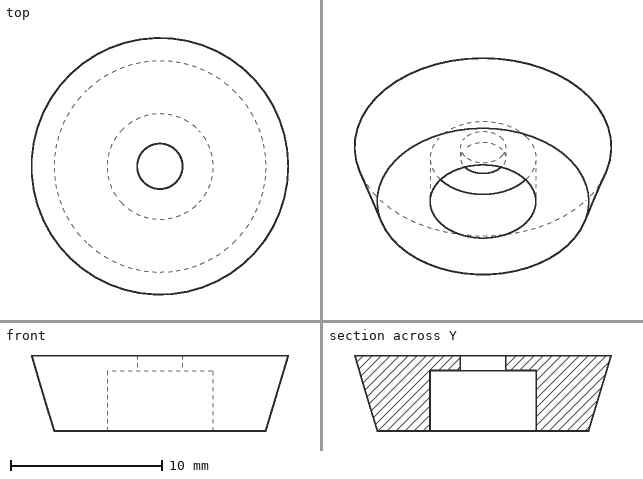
import cadquery as cq

top_diameter = 17.0
bottom_diameter = 14.0
height = 5.0
hole_diameter = 3.0
recess_diameter = 7.0
web_thickness = 1.0

recess_depth = height - web_thickness

body = (
    cq.Workplane("XZ")
    .polyline([
        (0, 0),
        (bottom_diameter / 2, 0),
        (top_diameter / 2, height),
        (0, height),
    ])
    .close()
    .revolve(360, (0, 0, 0), (0, 1, 0))
)

screw_hole = cq.Workplane("XY").circle(hole_diameter / 2).extrude(height)

head_recess = cq.Workplane("XY").circle(recess_diameter / 2).extrude(recess_depth)

result = body.cut(screw_hole).cut(head_recess)